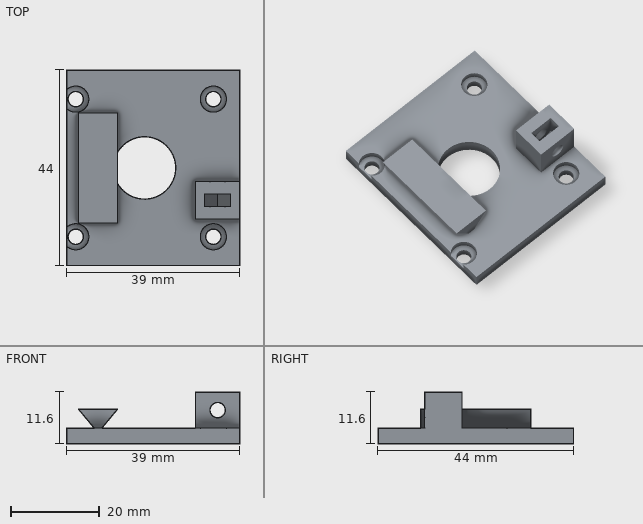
import cadquery as cq
import math

plate_width = 39.0
plate_length = 44.0
plate_thickness = 3.5

motor_x = 17.5
motor_opening_diameter = 14.0
screw_spacing = 30.98
screw_hole_diameter = 3.4
counterbore_diameter = 5.9
counterbore_depth = 1.6

rail_x = 7.05
rail_top_width = 8.85
rail_base_width = 1.75
rail_height = 4.25
rail_length = 24.8

block_width = 10.05
block_depth = 8.45
block_top = 11.6
block_y = -7.3
bolt_hole_z = 7.55
nut_across_flats = 5.85
nut_thickness = 2.8
block_x = plate_width - block_width / 2


def make_plate():
    plate = cq.Workplane("XY").box(
        plate_width, plate_length, plate_thickness, centered=(False, True, False)
    )
    return (
        plate.faces(">Z").workplane(origin=(motor_x, 0, 0))
        .hole(motor_opening_diameter)
        .faces(">Z").workplane(origin=(motor_x, 0, 0))
        .rect(screw_spacing, screw_spacing, forConstruction=True)
        .vertices()
        .cboreHole(screw_hole_diameter, counterbore_diameter, counterbore_depth)
    )


def make_rail():
    rail_top = plate_thickness + rail_height
    return (
        cq.Workplane("XZ")
        .polyline([
            (rail_x - rail_base_width / 2, plate_thickness),
            (rail_x + rail_base_width / 2, plate_thickness),
            (rail_x + rail_top_width / 2, rail_top),
            (rail_x - rail_top_width / 2, rail_top),
        ])
        .close()
        .extrude(rail_length / 2, both=True)
    )


def make_nut_block():
    block = (
        cq.Workplane("XY", origin=(block_x, block_y, plate_thickness))
        .rect(block_width, block_depth)
        .extrude(block_top - plate_thickness)
    )
    bolt_axis = cq.Workplane("XZ", origin=(block_x, block_y, bolt_hole_z))
    bolt_hole = bolt_axis.circle(screw_hole_diameter / 2).extrude(block_depth, both=True)

    half_flats = nut_across_flats / 2
    nut_radius = half_flats / math.cos(math.radians(30))
    slot_top = block_top - bolt_hole_z
    nut_slot = (
        bolt_axis
        .polyline([
            (0, -nut_radius),
            (half_flats, -nut_radius / 2),
            (half_flats, slot_top),
            (-half_flats, slot_top),
            (-half_flats, -nut_radius / 2),
        ])
        .close()
        .extrude(nut_thickness / 2, both=True)
    )
    return block.cut(bolt_hole).cut(nut_slot)


result = make_plate().union(make_rail()).union(make_nut_block())